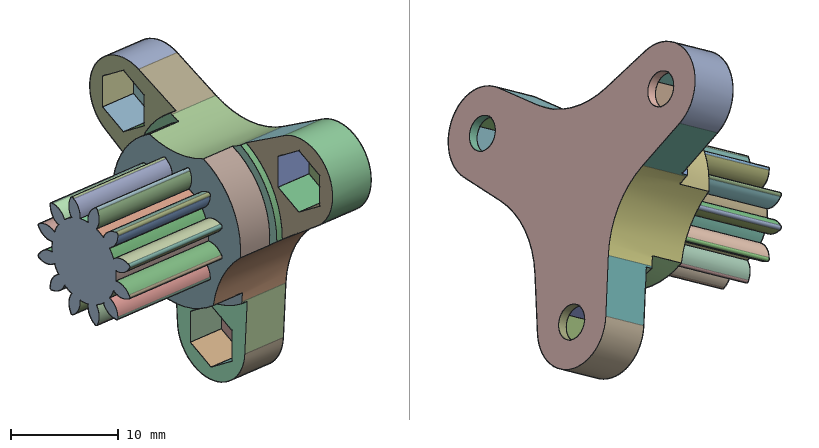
import cadquery as cq
import math

overall_width = 32.38
arm_count = 3
arm_spacing = 360 / arm_count
bolt_circle_radius = 13.5
bolt_span = 2 * bolt_circle_radius * math.sin(math.radians(arm_spacing / 2))
arm_end_radius = (overall_width - bolt_span) / 2
notch_radius = 10.0
notch_depth_radius = 7.1
plate_thickness = 5.02
collar_radius = 9.5
collar_top = 5.73
boss_radius = 8.55
boss_top = 9.52

bolt_hole_diameter = 3.4
nut_sides = 6
nut_width = 5.55
nut_pocket_depth = 4.0

overall_depth = 21.5
pinion_length = overall_depth - boss_top
tooth_count = 12
root_radius = 4.27
tip_radius = 6.3
tooth_base_half_width = 0.58
tooth_widest_radius = 4.92
tooth_half_width = 0.7
tooth_nose_radius = 6.15
tooth_nose_half_width = 0.23
tooth_root_overlap = 0.32

arm_directions = [-90 + i * arm_spacing for i in range(arm_count)]
tooth_pitch = 360 / tooth_count
tooth_directions = [(i + 0.5) * tooth_pitch for i in range(tooth_count)]


def offset(point, distance, degrees):
    """Point at a given distance and direction from another point."""
    angle = math.radians(degrees)
    return (point[0] + distance * math.cos(angle), point[1] + distance * math.sin(angle))


def polar(radius, degrees):
    return offset((0, 0), radius, degrees)


def front_plane(height):
    """Workplane facing -Y at a height above the plate back, which lies at Y = 0."""
    return cq.Workplane("XZ", origin=(0, -height, 0))


bolt_centres = [polar(bolt_circle_radius, direction) for direction in arm_directions]


def notch_half_angle():
    """Half the sweep of a notch arc, ended by lines tangent to it and to the arm ends."""
    notch_distance = notch_depth_radius + notch_radius
    end_x, end_y = polar(bolt_circle_radius, arm_spacing / 2)
    centre_gap = math.hypot(notch_distance - end_x, end_y)
    end_direction = math.atan2(end_y, notch_distance - end_x)
    tangent_lean = math.acos((arm_end_radius + notch_radius) / centre_gap)
    return math.degrees(end_direction - tangent_lean)


def three_armed_prism(height):
    """Round arm ends joined by tangent lines and concave notch arcs."""
    half_sweep = notch_half_angle()
    end_half_sweep = arm_spacing / 2 - half_sweep

    outline = front_plane(0)
    for direction, bolt_centre in zip(arm_directions, bolt_centres):
        end_start = offset(bolt_centre, arm_end_radius, direction - arm_spacing / 2 - half_sweep)
        end_tip = offset(bolt_centre, arm_end_radius, direction)
        end_finish = offset(bolt_centre, arm_end_radius, direction + arm_spacing / 2 + half_sweep)

        middle = direction + arm_spacing / 2
        notch_centre = polar(notch_depth_radius + notch_radius, middle)
        notch_start = offset(notch_centre, notch_radius, middle + 180 + half_sweep)
        notch_bottom = polar(notch_depth_radius, middle)
        notch_finish = offset(notch_centre, notch_radius, middle + 180 - half_sweep)

        if direction == arm_directions[0]:
            outline = outline.moveTo(*end_start)
        else:
            outline = outline.lineTo(*end_start)
        outline = (
            outline
            .threePointArc(end_tip, end_finish)
            .lineTo(*notch_start)
            .threePointArc(notch_bottom, notch_finish)
        )
    return outline.close().extrude(height)


def nut_pockets():
    """Hexagonal prisms with a corner pointing up and down in Z."""
    corner_diameter = nut_width / math.cos(math.pi / nut_sides)
    pockets = cq.Workplane("XZ")
    for bolt_centre in bolt_centres:
        pocket = (
            front_plane(plate_thickness - nut_pocket_depth)
            .center(*bolt_centre)
            .transformed(rotate=(0, 0, 90))
            .polygon(nut_sides, corner_diameter)
            .extrude(nut_pocket_depth)
        )
        pockets = pockets.add(pocket)
    return pockets.combine()


def make_carrier():
    collar = front_plane(0).circle(collar_radius).extrude(collar_top)
    boss = front_plane(0).circle(boss_radius).extrude(boss_top)
    stepped_boss = collar.union(boss).intersect(three_armed_prism(boss_top))
    bolt_holes = (
        front_plane(0)
        .pushPoints(bolt_centres)
        .circle(bolt_hole_diameter / 2)
        .extrude(plate_thickness)
    )
    return three_armed_prism(plate_thickness).union(stepped_boss).cut(bolt_holes).cut(nut_pockets())


def make_tooth():
    """One tooth along +X: bulging flanks that end in a rounded tip."""
    base_radius = math.sqrt(root_radius**2 - tooth_base_half_width**2)
    sunk_radius = base_radius - tooth_root_overlap
    return (
        front_plane(boss_top)
        .moveTo(sunk_radius, -tooth_base_half_width)
        .lineTo(base_radius, -tooth_base_half_width)
        .threePointArc(
            (tooth_widest_radius, -tooth_half_width),
            (tooth_nose_radius, -tooth_nose_half_width),
        )
        .threePointArc((tip_radius, 0), (tooth_nose_radius, tooth_nose_half_width))
        .threePointArc(
            (tooth_widest_radius, tooth_half_width),
            (base_radius, tooth_base_half_width),
        )
        .lineTo(sunk_radius, tooth_base_half_width)
        .close()
        .extrude(pinion_length)
    )


def make_pinion():
    pinion = front_plane(boss_top).circle(root_radius).extrude(pinion_length)
    tooth = make_tooth()
    for direction in tooth_directions:
        pinion = pinion.union(tooth.rotate((0, 0, 0), (0, 1, 0), direction))
    return pinion


carrier = make_carrier()
pinion = make_pinion()
result = cq.Compound.makeCompound([carrier.solids().val(), pinion.solids().val()])